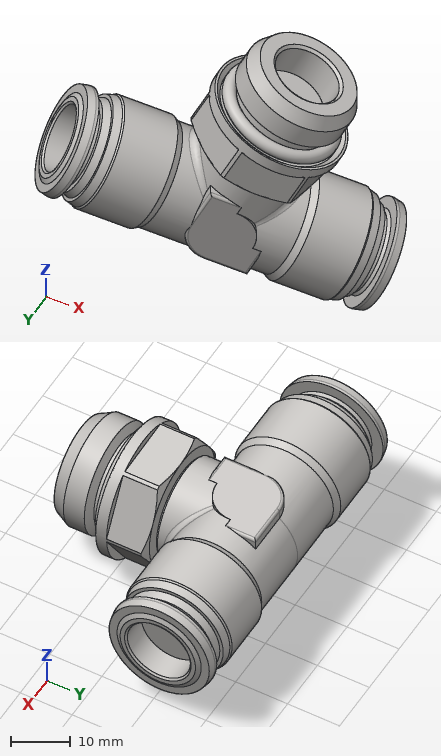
import cadquery as cq
import math

run_length = 60.8
half_run = run_length / 2
barrel_radius = 10.2
body_radius = 9.5
cut_margin = 1.0

nose_depth = 0.45
flange_crest_depth = 1.9
flange_back_depth = 2.45
groove_cone_depth = 3.0
groove_end_depth = 3.9
collar_end_depth = 5.3
barrel_lip_end_depth = 6.85
barrel_start_depth = 7.15
barrel_end_depth = 17.1
barrel_taper_end_depth = 18.35

nose_tip_radius = 7.25
nose_base_radius = 8.1
flange_front_radius = 9.65
flange_radius = 9.95
groove_start_radius = 7.8
groove_radius = 7.4
collar_front_radius = 8.4
collar_back_radius = 8.9
barrel_lip_front_radius = 9.55
barrel_lip_back_radius = 9.95

socket_radius = 6.06
socket_mouth_radius = 6.4
socket_mouth_depth = 0.35
socket_depth = 5.1

branch_end = 12.45
branch_end_chamfer = 0.4
branch_blend_radius = 1.3

pad_reach = 8.0
pad_round_radius = 6.0
pad_clearance = 0.01
pad_height = body_radius + pad_clearance
pad_edge_radius = 0.5

stud_end = 32.15
spigot_radius = 8.0
spigot_start = 8.0

hex_start = 12.73
hex_end = 20.1
hex_sides = 6
hex_across_flats = 22.0
hex_corner_radius = 12.5
hex_chamfer_height = 0.75
hex_turn = 2.2

flange_end = 22.2
seal_end = 23.6
relief_end = 24.7
thread_start = 25.6
thread_end = 29.6

stud_flange_radius = 12.5
seal_radius = 11.1
seal_section_radius = 1.2
seal_ring_radius = seal_radius - seal_section_radius
seal_groove_radius = 12.05
seal_groove_depth = 0.9
relief_radius = 8.75
thread_radius = 10.4
thread_tip_radius = 9.1

stud_bore_radius = 6.0
stud_bore_mouth_radius = 6.5
stud_bore_mouth_depth = 0.5
stud_bore_depth = 6.3


def revolve_about_x(points):
    """Revolve a closed (x, radius) outline about the X axis."""
    return cq.Workplane("XY").polyline(points).close().revolve(360, (0, 0, 0), (1, 0, 0))


def revolve_about_y(points):
    """Revolve a closed (radius, distance) outline about Y, distances running towards -Y."""
    outline = [(radius, -distance) for radius, distance in points]
    return cq.Workplane("XY").polyline(outline).close().revolve(360, (0, 0, 0), (0, 1, 0))


def make_run_end():
    """The +X half of the run: body, barrel, collar, groove and release flange."""
    profile = [
        (0, nose_tip_radius),
        (nose_depth, nose_base_radius),
        (nose_depth, flange_front_radius),
        (flange_crest_depth, flange_radius),
        (flange_back_depth, flange_radius),
        (flange_back_depth, groove_start_radius),
        (groove_cone_depth, groove_radius),
        (groove_end_depth, groove_radius),
        (groove_end_depth, collar_front_radius),
        (collar_end_depth, collar_back_radius),
        (collar_end_depth, barrel_lip_front_radius),
        (barrel_lip_end_depth, barrel_lip_back_radius),
        (barrel_start_depth, barrel_radius),
        (barrel_end_depth, barrel_radius),
        (barrel_taper_end_depth, body_radius),
        (half_run, body_radius),
    ]
    outline = [(half_run - depth, radius) for depth, radius in profile]
    return revolve_about_x([(half_run, 0)] + outline + [(0, 0)])


def make_socket():
    """The cutter for the tube socket at the +X end."""
    return revolve_about_x([
        (half_run + cut_margin, 0),
        (half_run + cut_margin, socket_mouth_radius),
        (half_run, socket_mouth_radius),
        (half_run - socket_mouth_depth, socket_radius),
        (half_run - socket_depth, socket_radius),
        (half_run - socket_depth, 0),
    ])


def make_pad():
    """Flat label pad on the +Z side: a disc with two square corners pulled out from it."""
    diagonal = pad_round_radius * math.sqrt(0.5)
    pad = (
        cq.Workplane("XY")
        .moveTo(0, pad_round_radius)
        .lineTo(pad_reach, pad_round_radius)
        .lineTo(pad_reach, 0)
        .lineTo(pad_round_radius, 0)
        .threePointArc((diagonal, -diagonal), (0, -pad_round_radius))
        .lineTo(0, -pad_reach)
        .lineTo(-pad_round_radius, -pad_reach)
        .lineTo(-pad_round_radius, 0)
        .threePointArc((-diagonal, diagonal), (0, pad_round_radius))
        .close()
        .extrude(pad_height)
    )
    inner_corner = cq.selectors.BoxSelector(
        (-pad_edge_radius, -pad_reach + pad_edge_radius, 0),
        (pad_reach - pad_edge_radius, pad_edge_radius, pad_height + cut_margin),
    )
    rims = pad.faces(">Z").edges(cq.selectors.SubtractSelector(cq.selectors.Selector(), inner_corner))
    return rims.fillet(pad_edge_radius)


def make_tee():
    run_end = make_run_end()
    branch = revolve_about_y([
        (0, 0),
        (body_radius, 0),
        (body_radius, branch_end - branch_end_chamfer),
        (body_radius - branch_end_chamfer, branch_end),
        (0, branch_end),
    ])
    tee = run_end.union(run_end.mirror("YZ")).union(branch)
    pad = make_pad()
    tee = tee.union(pad).union(pad.mirror("XY"))
    meeting_lines = tee.edges("%ELLIPSE").edges(cq.selectors.BoxSelector(
        (-body_radius, -body_radius, -pad_round_radius),
        (body_radius, -pad_round_radius * math.sqrt(0.5), pad_round_radius),
    ))
    tee = meeting_lines.fillet(branch_blend_radius)
    socket = make_socket()
    spigot_hole = revolve_about_y([
        (0, spigot_start),
        (spigot_radius, spigot_start),
        (spigot_radius, branch_end + cut_margin),
        (0, branch_end + cut_margin),
    ])
    return tee.cut(socket).cut(socket.mirror("YZ")).cut(spigot_hole)


def make_hexagon():
    """Hexagon along -Y, corners turned round and chamfered towards the tee."""
    height = hex_end - hex_start
    hexagon = (
        cq.Workplane("XZ", origin=(0, -hex_start, 0))
        .polygon(hex_sides, hex_across_flats / math.cos(math.pi / hex_sides))
        .extrude(height)
        .rotate((0, 0, 0), (0, 1, 0), hex_turn)
    )
    turned_blank = revolve_about_y([
        (0, hex_start),
        (hex_across_flats / 2, hex_start),
        (hex_corner_radius, hex_start + hex_chamfer_height),
        (hex_corner_radius, hex_end),
        (0, hex_end),
    ])
    return hexagon.intersect(turned_blank)


def make_stud():
    spigot = revolve_about_y([
        (0, spigot_start),
        (spigot_radius, spigot_start),
        (spigot_radius, hex_end),
        (0, hex_end),
    ])
    seal_groove_floor = flange_end - seal_groove_depth
    seal_middle = seal_end - seal_section_radius
    seal_inner_radius = seal_ring_radius - seal_section_radius
    seal_inner_end = seal_middle - seal_section_radius
    seal_diagonal = seal_section_radius * math.sqrt(0.5)
    seal = (
        cq.Workplane("XY")
        .moveTo(seal_ring_radius, -seal_inner_end)
        .threePointArc(
            (seal_ring_radius + seal_diagonal, -seal_middle - seal_diagonal),
            (seal_inner_radius, -seal_middle),
        )
        .lineTo(seal_inner_radius, -seal_inner_end)
        .close()
        .revolve(360, (0, 0, 0), (0, 1, 0))
    )
    flange = revolve_about_y([
        (0, hex_end),
        (stud_flange_radius, hex_end),
        (stud_flange_radius, flange_end),
        (seal_groove_radius, flange_end),
        (seal_radius, seal_groove_floor),
        (0, seal_groove_floor),
    ])
    thread = revolve_about_y([
        (0, seal_groove_floor),
        (relief_radius, seal_groove_floor),
        (relief_radius, relief_end),
        (thread_radius, thread_start),
        (thread_radius, thread_end),
        (thread_tip_radius, stud_end),
        (0, stud_end),
    ])
    bore = revolve_about_y([
        (0, stud_end - stud_bore_depth),
        (stud_bore_radius, stud_end - stud_bore_depth),
        (stud_bore_radius, stud_end - stud_bore_mouth_depth),
        (stud_bore_mouth_radius, stud_end),
        (stud_bore_mouth_radius, stud_end + cut_margin),
        (0, stud_end + cut_margin),
    ])
    return spigot.union(make_hexagon()).union(flange).union(seal).union(thread).cut(bore)


tee = make_tee()
stud = make_stud()

result = cq.Compound.makeCompound([tee.val(), stud.val()])